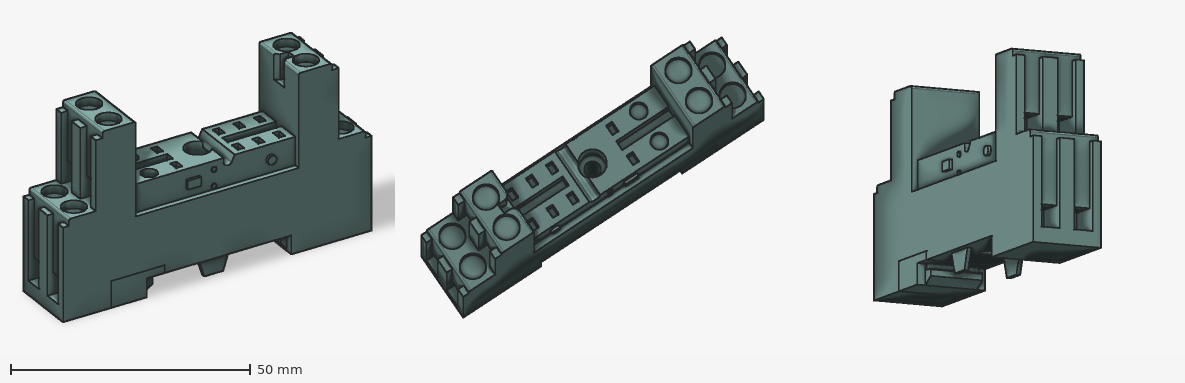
import cadquery as cq
import math

WIDTH = 15.8
LENGTH = 75.6
HEIGHT = 42.7
HALF_LENGTH = LENGTH / 2

LOWER_TOP = 24.2
LOWER_FACE = 36.4
TOWER_INNER = 19.95
TOWER_FACE = 28.1
RIB_DROP = 1.6
LOWER_RIB_DEPTH = HALF_LENGTH - LOWER_FACE
TOWER_RIB_DEPTH = 1.7
EDGE_ROUND = 0.5
LEDGE_Z = 20.1

BLOCK_WIDTH = 13.0
BLOCK_TOP = 26.9
GROOVE_RADIUS = 1.05
GROOVE_Y = 3.5
GROOVE_Z = 25.9
GROOVE_MOUTH_Y = 5.15

COLUMN_OFFSET = 3.85
COLUMNS = (-COLUMN_OFFSET, COLUMN_OFFSET)
SCREW_DIAMETER = 5.5
SCREW_DEPTH = 2.0
LOWER_SCREW_Y = 32.65
TOWER_SCREW_Y = 24.2
CENTRE_RIB_WIDTH = 3.4
SIDE_RIB_WIDTH = 2.0
WIRE_SLOT_WIDTH = (WIDTH - CENTRE_RIB_WIDTH) / 2 - SIDE_RIB_WIDTH
WIRE_SLOT_X = (CENTRE_RIB_WIDTH + WIRE_SLOT_WIDTH) / 2
WIRE_HOLE_DEPTH = 6.05
WIRE_HOLE_HEIGHT = 5.1
LOWER_WIRE_FLOOR = 3.4

MOUNT_DIAMETER = 3.5
MOUNT_HEAD_DIAMETER = 6.0
MOUNT_HEAD_DEPTH = 6.8
CONTACT_X = 2.4
CONTACT_Y = 1.5
CONTACT_DEPTH = 3.0
FIRST_CONTACT_Y = 7.55
LAST_CONTACT_Y = 17.6
MIDDLE_CONTACT_Y = (FIRST_CONTACT_Y + LAST_CONTACT_Y) / 2
CONTACT_ROWS = (-FIRST_CONTACT_Y, FIRST_CONTACT_Y, MIDDLE_CONTACT_Y, LAST_CONTACT_Y)
ROUND_POCKET_DIAMETER = 3.7
ROUND_POCKET_Y = -14.2
SLOT_WIDTH = 2.3
SLOT_END = 6.7
SLOT_DEPTH = 3.8

NOTCH_DEPTH = 3.0
NOTCH_FLOOR = 36.6
NOTCH_FLARE = 1.0

BOSS_HEIGHT = 0.7
ROUND_BOSS_DIAMETER = 2.1
ROUND_BOSS_Y = 13.9
BOSS_Z = 23.35
KEY_BOSS_LENGTH = 3.25
KEY_BOSS_HEIGHT = 2.1
KEY_BOSS_Y = -5.15
DOT_DIAMETER = 1.2
DOT_HEIGHT = 0.2
DOT_LEVELS = (20.95, 24.95)

RAIL_TOP = 4.5
RAIL_HOOK_Y = 18.15
RAIL_CLIP_Y = -17.2
HOOK_WIDTH = 12.0
HOOK_TOP = 3.2
HOOK_BEVEL = 0.2
CLIP_INNER = -12.85
CLIP_OUTER = -25.9
CLIP_TOP = 6.4
FOOT_SPREAD = 13.0
FOOT_THICKNESS = 0.9
FOOT_TOP_LENGTH = 7.55
FOOT_BOTTOM_LENGTH = 4.6


def box(x_size, y_range, z_range, x_centre=0):
    """Box centred at x_centre in X and spanning the given Y and Z ranges."""
    y_low, y_high = sorted(y_range)
    z_low, z_high = z_range
    solid = cq.Workplane("XY").box(x_size, y_high - y_low, z_high - z_low, centered=(True, False, False))
    return solid.translate((x_centre, y_low, z_low))


def across(outline, width):
    """Extrude a closed YZ outline across X, centred on the middle plane."""
    return outline.extrude(width / 2, both=True)


def drill(x, y, top, diameter, depth):
    """Vertical cylinder ending at the given top height."""
    return cq.Workplane("XY", origin=(x, y, top - depth)).circle(diameter / 2).extrude(depth)


def rounded_block(y_inner, y_outer, top, rounded_edges):
    """Terminal block from the base plane to its top, with rounded upper edges across X."""
    return box(WIDTH, (y_inner, y_outer), (0, top)).edges(rounded_edges).fillet(EDGE_ROUND)


def terminal_end():
    """The +Y end: a low terminal block, a tower and their ribbed wire entries."""
    outward_top = ">Z and >Y"
    low_block = rounded_block(TOWER_INNER, LOWER_FACE, LOWER_TOP, outward_top)
    tower = rounded_block(TOWER_INNER, TOWER_FACE, HEIGHT, "|X and >Z")
    low_ribs = box(WIDTH, (LOWER_FACE, HALF_LENGTH), (0, LOWER_TOP - RIB_DROP))
    tower_ribs = box(WIDTH, (TOWER_FACE, TOWER_FACE + TOWER_RIB_DEPTH), (LOWER_TOP, HEIGHT - RIB_DROP))
    end = low_block.union(tower).union(low_ribs).union(tower_ribs)

    levels = (
        (LOWER_FACE, LOWER_RIB_DEPTH, LOWER_WIRE_FLOOR, LOWER_TOP, LOWER_SCREW_Y),
        (TOWER_FACE, TOWER_RIB_DEPTH, LOWER_TOP, HEIGHT, TOWER_SCREW_Y),
    )
    for face, rib_depth, floor, top, screw_y in levels:
        for side in (-1, 1):
            slot_x = side * WIRE_SLOT_X
            rib_gap = box(WIRE_SLOT_WIDTH, (face, face + rib_depth), (floor, top), slot_x)
            wire_hole = box(
                WIRE_SLOT_WIDTH, (face - WIRE_HOLE_DEPTH, face), (floor, floor + WIRE_HOLE_HEIGHT), slot_x
            )
            end = end.cut(rib_gap).cut(wire_hole)
        for x in COLUMNS:
            end = end.cut(drill(x, screw_y, top, SCREW_DIAMETER, SCREW_DEPTH))
    return end


def side_face(side):
    """Workplane on one side face of the middle block: -1 for the -X face, 1 for the +X face."""
    return cq.Workplane("YZ", origin=(side * BLOCK_WIDTH / 2, 0, 0))


def middle_block():
    """Raised block between the towers, with bosses on both sides."""
    block = box(BLOCK_WIDTH, (-TOWER_INNER, TOWER_INNER), (LEDGE_Z, BLOCK_TOP))
    for side in (-1, 1):
        round_boss = side_face(side).center(ROUND_BOSS_Y, BOSS_Z).circle(ROUND_BOSS_DIAMETER / 2)
        key_boss = side_face(side).center(KEY_BOSS_Y, BOSS_Z).rect(KEY_BOSS_LENGTH, KEY_BOSS_HEIGHT)
        dots = side_face(side).pushPoints([(0, level) for level in DOT_LEVELS]).circle(DOT_DIAMETER / 2)
        block = block.union(round_boss.extrude(side * BOSS_HEIGHT))
        block = block.union(key_boss.extrude(side * BOSS_HEIGHT))
        block = block.union(dots.extrude(side * DOT_HEIGHT))
    return block


def cross_groove():
    """Groove across the block: one upright side, a round floor and one sloping side."""
    mouth_dy = GROOVE_MOUTH_Y - GROOVE_Y
    mouth_dz = BLOCK_TOP - GROOVE_Z
    mouth_angle = math.atan2(mouth_dz, mouth_dy)
    tangent_angle = mouth_angle - math.acos(GROOVE_RADIUS / math.hypot(mouth_dy, mouth_dz))
    tangent_point = (
        GROOVE_Y + GROOVE_RADIUS * math.cos(tangent_angle),
        GROOVE_Z + GROOVE_RADIUS * math.sin(tangent_angle),
    )
    outline = (
        cq.Workplane("YZ")
        .moveTo(GROOVE_Y - GROOVE_RADIUS, BLOCK_TOP)
        .lineTo(GROOVE_Y - GROOVE_RADIUS, GROOVE_Z)
        .threePointArc((GROOVE_Y, GROOVE_Z - GROOVE_RADIUS), tangent_point)
        .lineTo(GROOVE_MOUTH_Y, BLOCK_TOP)
        .close()
    )
    return across(outline, WIDTH)


def cut_block_openings(body):
    """Contact slots, round pockets, long slots and the groove in the middle block."""
    for x in COLUMNS:
        for y in CONTACT_ROWS:
            y_range = (y - CONTACT_Y / 2, y + CONTACT_Y / 2)
            body = body.cut(box(CONTACT_X, y_range, (BLOCK_TOP - CONTACT_DEPTH, BLOCK_TOP), x))
        body = body.cut(drill(x, ROUND_POCKET_Y, BLOCK_TOP, ROUND_POCKET_DIAMETER, SCREW_DEPTH))
    for side in (-1, 1):
        y_range = (side * SLOT_END, side * TOWER_INNER)
        body = body.cut(box(SLOT_WIDTH, y_range, (BLOCK_TOP - SLOT_DEPTH, BLOCK_TOP)))
    return body.cut(cross_groove())


def tower_notch():
    """Upright notch whose mouth flares at 45 degrees."""
    half = SLOT_WIDTH / 2
    right_side = [
        (half + NOTCH_FLARE, TOWER_INNER),
        (half, TOWER_INNER + NOTCH_FLARE),
        (half, TOWER_INNER + NOTCH_DEPTH),
    ]
    left_side = [(-x, y) for x, y in reversed(right_side)]
    outline = cq.Workplane("XY", origin=(0, 0, NOTCH_FLOOR)).polyline(right_side + left_side).close()
    return outline.extrude(HEIGHT - NOTCH_FLOOR)


def mounting_hole():
    """Counterbored screw hole through the housing."""
    shank = drill(0, 0, BLOCK_TOP, MOUNT_DIAMETER, BLOCK_TOP)
    return shank.union(drill(0, 0, BLOCK_TOP, MOUNT_HEAD_DIAMETER, MOUNT_HEAD_DEPTH))


def clip_pocket():
    """Space that the rail clip fills in the housing, full width."""
    return box(WIDTH, (CLIP_OUTER, CLIP_INNER), (0, CLIP_TOP))


def rail_channel():
    return box(WIDTH, (RAIL_CLIP_Y, RAIL_HOOK_Y), (0, RAIL_TOP))


def rail_hook():
    """Fixed hook on the +Y wall of the rail channel."""
    tip = 16.7
    tip_bottom = 2.05
    root_bottom = 0.6
    outline = cq.Workplane("YZ").polyline([
        (RAIL_HOOK_Y, root_bottom),
        (RAIL_HOOK_Y, HOOK_TOP),
        (tip + HOOK_BEVEL, HOOK_TOP),
        (tip, HOOK_TOP - HOOK_BEVEL),
        (tip, tip_bottom),
    ])
    return across(outline.close(), HOOK_WIDTH)


def build_housing():
    end = terminal_end()
    body = box(WIDTH, (-TOWER_INNER, TOWER_INNER), (0, LEDGE_Z))
    body = body.union(end).union(end.mirror("XZ")).union(middle_block())
    body = cut_block_openings(body).cut(tower_notch()).cut(mounting_hole())
    return body.cut(rail_channel()).cut(clip_pocket()).union(rail_hook())


def build_rail_foot(side):
    """Thin tapered foot under the middle of the rail channel: -1 for the -X foot, 1 for the +X foot."""
    top = FOOT_TOP_LENGTH / 2
    bottom = FOOT_BOTTOM_LENGTH / 2
    outline = cq.Workplane("YZ").polyline([(-bottom, 0), (bottom, 0), (top, RAIL_TOP), (-top, RAIL_TOP)])
    foot = across(outline.close(), FOOT_THICKNESS)
    return foot.translate((side * (FOOT_SPREAD - FOOT_THICKNESS) / 2, 0, 0))


def build_rail_clip():
    """Clip set flush into the housing sides, with a narrower hook in the rail channel."""
    plate = clip_pocket().cut(rail_channel())
    tip = -14.7
    tip_bottom = 1.6
    stem_face = -16.55
    outline = cq.Workplane("YZ").polyline([
        (RAIL_CLIP_Y, 0),
        (RAIL_CLIP_Y, RAIL_TOP),
        (stem_face, RAIL_TOP),
        (stem_face, HOOK_TOP),
        (tip - HOOK_BEVEL, HOOK_TOP),
        (tip, HOOK_TOP - HOOK_BEVEL),
        (tip, tip_bottom),
    ])
    return plate.union(across(outline.close(), HOOK_WIDTH))


housing = build_housing()
rail_feet = [build_rail_foot(side).val() for side in (-1, 1)]
rail_clip = build_rail_clip()

result = cq.Compound.makeCompound([housing.val(), *rail_feet, rail_clip.val()])